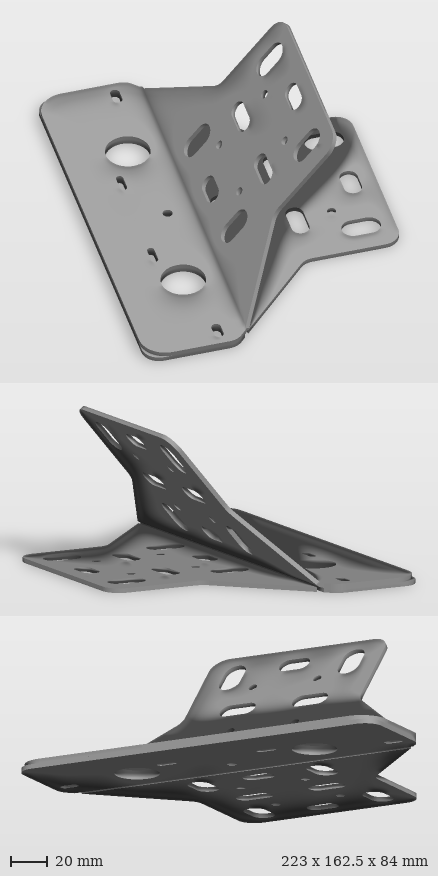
import cadquery as cq
import math


stack_height = 5.1
sheet = stack_height / 2
bend_angle = 50.0
bend_radius = 1.8
bend_length = math.radians(bend_angle) * (bend_radius + sheet / 2)

width = 223.0
total_depth = 162.5
wing_length = 102.1
flange_depth = total_depth - wing_length - bend_length

tab_width = 109.7
shoulder_from_tip = 56.2
slant_run = 54.5
corner_radius = 10.0
upper_front_radius = 15.0
slant_rate = (width - tab_width) / 2 / slant_run
shoulder = wing_length - shoulder_from_tip
wing_root_half = tab_width / 2 + shoulder * slant_rate
flange_rear_half = wing_root_half + bend_length * slant_rate
slant_start = flange_depth - (width / 2 - flange_rear_half) / slant_rate

big_hole_diameter = 25.0
big_hole_x = 55.3
big_hole_y = 37.0
centre_hole_diameter = 5.5
centre_hole_y = 44.0
outer_slot_length = 11.0
outer_slot_width = 5.4
outer_slot_x = 101.0
outer_slot_y = 43.5
inner_slot_length = 11.8
inner_slot_width = 4.0
inner_slot_x = 31.0
inner_slot_y = 26.5

pattern_centre = wing_length / 2
small_hole_diameter = 5.0
small_hole_offset = 20.0
corner_slot_length = 22.0
corner_slot_width = 13.0
corner_slot_x = 37.0
corner_slot_offset = 32.1
cross_slot_width = 10.0
end_slot_length = 18.7
end_slot_offset = 36.8
side_slot_length = 21.9
side_slot_x = 22.5


def mirrored(offset):
    return (-offset, offset)


def slot_cutter(length, slot_width, points, angle=0):
    return cq.Workplane("XY").pushPoints(points).slot2D(length, slot_width, angle).extrude(sheet)


def hole_cutter(diameter, points):
    return cq.Workplane("XY").pushPoints(points).circle(diameter / 2).extrude(sheet)


def round_corners(plate, x, y, radius):
    """Round the two upright edges at (-x, y) and (x, y)."""
    for side_x in mirrored(x):
        corner = cq.selectors.NearestToPointSelector((side_x, y, sheet / 2))
        plate = plate.edges("|Z").edges(corner).fillet(radius)
    return plate


def make_flange(front_radius):
    """Flat flange with its front edge at Y = 0 and its bottom at Z = 0."""
    plate = (
        cq.Workplane("XY")
        .polyline([
            (-width / 2, 0),
            (width / 2, 0),
            (width / 2, slant_start),
            (flange_rear_half, flange_depth),
            (-flange_rear_half, flange_depth),
            (-width / 2, slant_start),
        ])
        .close()
        .extrude(sheet)
    )
    plate = round_corners(plate, width / 2, slant_start, corner_radius)
    plate = round_corners(plate, width / 2, 0, front_radius)
    outer_slots = [(x, outer_slot_y) for x in mirrored(outer_slot_x)]
    inner_slots = [(x, inner_slot_y) for x in mirrored(inner_slot_x)]
    big_holes = [(x, big_hole_y) for x in mirrored(big_hole_x)]
    return (
        plate
        .cut(hole_cutter(big_hole_diameter, big_holes))
        .cut(hole_cutter(centre_hole_diameter, [(0, centre_hole_y)]))
        .cut(slot_cutter(outer_slot_length, outer_slot_width, outer_slots))
        .cut(slot_cutter(inner_slot_length, inner_slot_width, inner_slots))
    )


def make_wing():
    """Flat wing with its root edge at Y = 0 and its bottom at Z = 0."""
    plate = (
        cq.Workplane("XY")
        .polyline([
            (-wing_root_half, 0),
            (wing_root_half, 0),
            (tab_width / 2, shoulder),
            (tab_width / 2, wing_length),
            (-tab_width / 2, wing_length),
            (-tab_width / 2, shoulder),
        ])
        .close()
        .extrude(sheet)
    )
    plate = round_corners(plate, tab_width / 2, shoulder, corner_radius)
    plate = round_corners(plate, tab_width / 2, wing_length, corner_radius)
    small_holes = [
        (x, pattern_centre + y)
        for x in mirrored(small_hole_offset)
        for y in mirrored(small_hole_offset)
    ]
    corner_slots = [
        (x, pattern_centre + y)
        for x in mirrored(corner_slot_x)
        for y in mirrored(corner_slot_offset)
    ]
    end_slots = [(0, pattern_centre + y) for y in mirrored(end_slot_offset)]
    side_slots = [(x, pattern_centre) for x in mirrored(side_slot_x)]
    return (
        plate
        .cut(hole_cutter(small_hole_diameter, small_holes))
        .cut(slot_cutter(corner_slot_length, corner_slot_width, corner_slots, 90))
        .cut(slot_cutter(end_slot_length, cross_slot_width, end_slots))
        .cut(slot_cutter(side_slot_length, cross_slot_width, side_slots))
    )


def bend_point(radius, angle):
    """Point (Y, Z) on the bend, at a radius and an angle in degrees from the flange."""
    turn = math.radians(angle)
    centre_z = stack_height + bend_radius
    return (flange_depth + radius * math.sin(turn), centre_z - radius * math.cos(turn))


def make_bend():
    """Curved strip between the upper flange and the raised wing, with slanted ends."""
    inner = bend_radius
    outer = bend_radius + sheet
    strip = (
        cq.Workplane("YZ")
        .moveTo(*bend_point(outer, 0))
        .threePointArc(bend_point(outer, bend_angle / 2), bend_point(outer, bend_angle))
        .lineTo(*bend_point(inner, bend_angle))
        .threePointArc(bend_point(inner, bend_angle / 2), bend_point(inner, 0))
        .close()
        .extrude(flange_rear_half, both=True)
    )
    rear, _ = bend_point(outer, bend_angle)
    outline = (
        cq.Workplane("XY")
        .polyline([
            (-flange_rear_half, flange_depth),
            (flange_rear_half, flange_depth),
            (wing_root_half, rear),
            (-wing_root_half, rear),
        ])
        .close()
        .extrude(stack_height + outer)
    )
    return strip.intersect(outline)


lower_flange = make_flange(corner_radius)
lower_wing = make_wing().translate((0, flange_depth + bend_length, 0))

upper_flange = make_flange(upper_front_radius).translate((0, 0, sheet))
upper_bend = make_bend()
raised_wing = (
    make_wing()
    .rotate((0, 0, 0), (1, 0, 0), bend_angle)
    .translate((0, *bend_point(bend_radius + sheet, bend_angle)))
)

result = cq.Compound.makeCompound([
    lower_flange.val(),
    lower_wing.val(),
    upper_flange.val(),
    upper_bend.val(),
    raised_wing.val(),
])